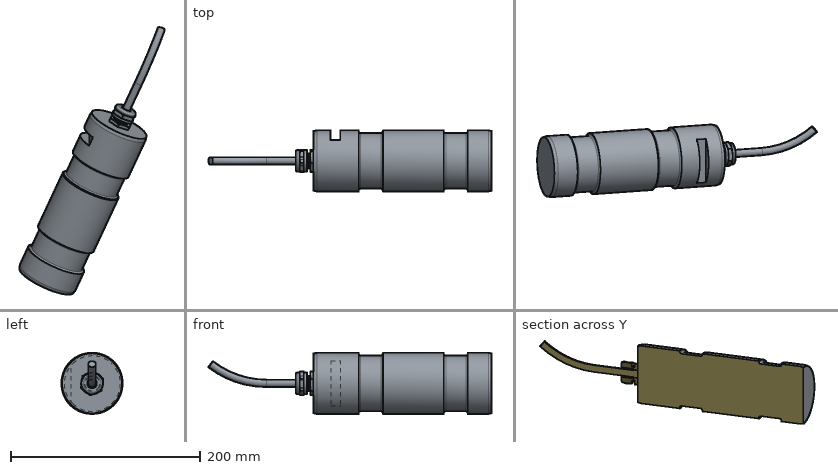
import cadquery as cq
import math

TOTAL_LENGTH = 299.5

PIN_LENGTH = 188.5
PIN_DIAMETER = 65.0
PIN_RADIUS = PIN_DIAMETER / 2
LEAD_IN_LENGTH = 3.5
LEAD_IN_DEPTH = 1.0
GROOVE_STARTS = (48.0, 137.8)
GROOVE_WIDTH = 25.2
GROOVE_DEPTH = 3.0
GROOVE_ROOT_FILLET = 1.8
MIDDLE_LAND_CHAMFER = 1.0
SLOT_START = 18.3
SLOT_WIDTH = 10.0
SLOT_DEPTH = 10.2

CABLE_DIAMETER = 8.0
CABLE_RADIUS = CABLE_DIAMETER / 2
BEND_START = -49.7
BEND_ANGLE = 38.0

HEX_WIDTH = 22.2
HEX_CORNER_RADIUS = HEX_WIDTH / math.sqrt(3)
HEX_TURN = 38.0
HEX_CHAMFER_RADIUS = 11.7
HEX_CHAMFER_LENGTH = 1.0

FLANGE_LENGTH = 3.5
NECK_RADIUS = 7.8
NECK_LENGTH = 1.5

NUT_LIP_RADIUS = 8.0
NUT_LIP_LENGTH = 1.5
NUT_RADIUS = 11.7
NUT_COLLAR_LENGTH = 3.5
NUT_COLLAR_CHAMFER = 0.5
NUT_HEX_LENGTH = 4.5
NUT_NOSE_LENGTH = 4.2
NUT_NOSE_ROUND = 2.5
NUT_BORE_RADIUS = 5.0


def rod(start, length, radius):
    """Cylinder along X from start toward +X."""
    return cq.Workplane("YZ", origin=(start, 0, 0)).circle(radius).extrude(length)


def hexagon(start, length):
    """Hexagonal prism along X whose corners are bevelled by a cone at its left end."""
    prism = (
        cq.Workplane("YZ", origin=(start, 0, 0))
        .transformed(rotate=(0, 0, HEX_TURN))
        .polygon(6, 2 * HEX_CORNER_RADIUS)
        .extrude(length)
    )
    envelope = (
        cq.Workplane("XY")
        .moveTo(start, 0)
        .lineTo(start, HEX_CHAMFER_RADIUS)
        .lineTo(start + HEX_CHAMFER_LENGTH, HEX_CORNER_RADIUS)
        .lineTo(start + length, HEX_CORNER_RADIUS)
        .lineTo(start + length, 0)
        .close()
        .revolve(360, (0, 0, 0), (1, 0, 0))
    )
    return prism.intersect(envelope)


def groove_cutter(start):
    """Ring that cuts one groove, with rounded bottom corners."""
    ring = rod(start, GROOVE_WIDTH, PIN_RADIUS + GROOVE_DEPTH).cut(
        rod(start, GROOVE_WIDTH, PIN_RADIUS - GROOVE_DEPTH)
    )
    inner_edges = cq.selectors.RadiusNthSelector(0)
    return ring.edges("%CIRCLE").edges(inner_edges).fillet(GROOVE_ROOT_FILLET)


def make_pin():
    end_radius = PIN_RADIUS - LEAD_IN_DEPTH
    pin = (
        cq.Workplane("XY")
        .lineTo(0, end_radius)
        .lineTo(LEAD_IN_LENGTH, PIN_RADIUS)
        .lineTo(PIN_LENGTH - LEAD_IN_LENGTH, PIN_RADIUS)
        .lineTo(PIN_LENGTH, end_radius)
        .lineTo(PIN_LENGTH, 0)
        .close()
        .revolve(360, (0, 0, 0), (1, 0, 0))
    )
    for start in GROOVE_STARTS:
        pin = pin.cut(groove_cutter(start))

    land_start = GROOVE_STARTS[0] + GROOVE_WIDTH
    bevel = (
        cq.Workplane("XY")
        .moveTo(land_start, PIN_RADIUS - MIDDLE_LAND_CHAMFER)
        .lineTo(land_start + MIDDLE_LAND_CHAMFER, PIN_RADIUS)
        .lineTo(land_start, PIN_RADIUS)
        .close()
        .revolve(360, (0, 0, 0), (1, 0, 0))
    )
    pin = pin.cut(bevel)

    slot = cq.Workplane("XY").box(
        SLOT_WIDTH, SLOT_DEPTH, PIN_DIAMETER, centered=(False, False, True)
    )
    return pin.cut(slot.translate((SLOT_START, PIN_RADIUS - SLOT_DEPTH, 0)))


def make_gland_body():
    flange = hexagon(-FLANGE_LENGTH, FLANGE_LENGTH)
    neck_start = -FLANGE_LENGTH - NECK_LENGTH
    body = flange.union(rod(neck_start, NECK_LENGTH, NECK_RADIUS))
    return body.cut(rod(neck_start, NECK_LENGTH + FLANGE_LENGTH, CABLE_RADIUS))


def make_gland_nut():
    nut_end = -FLANGE_LENGTH - NECK_LENGTH
    lip_start = nut_end - NUT_LIP_LENGTH
    collar_start = lip_start - NUT_COLLAR_LENGTH
    hex_start = collar_start - NUT_HEX_LENGTH
    nose_start = hex_start - NUT_NOSE_LENGTH
    lip = rod(lip_start, NUT_LIP_LENGTH, NUT_LIP_RADIUS)
    collar = rod(collar_start, NUT_COLLAR_LENGTH, NUT_RADIUS).faces(">X").chamfer(NUT_COLLAR_CHAMFER)
    nose = rod(nose_start, NUT_NOSE_LENGTH, NUT_RADIUS).faces("<X").edges().fillet(NUT_NOSE_ROUND)
    nut = lip.union(collar).union(hexagon(hex_start, NUT_HEX_LENGTH)).union(nose)
    return nut.cut(rod(nose_start, nut_end - nose_start, NUT_BORE_RADIUS))


def make_cable():
    angle = math.radians(BEND_ANGLE)
    cable_reach = TOTAL_LENGTH - PIN_LENGTH
    bend_radius = (cable_reach + BEND_START) / math.sin(angle) - CABLE_RADIUS

    def bend_point(turn):
        return (BEND_START - bend_radius * math.sin(turn), bend_radius * (1 - math.cos(turn)))

    path = (
        cq.Workplane("XZ")
        .lineTo(BEND_START, 0)
        .threePointArc(bend_point(angle / 2), bend_point(angle))
    )
    return cq.Workplane("YZ").circle(CABLE_RADIUS).sweep(path)


pin = make_pin()
gland_body = make_gland_body()
gland_nut = make_gland_nut()
cable = make_cable()

result = cq.Compound.makeCompound(
    [
        pin.solids().val(),
        gland_body.solids().val(),
        gland_nut.solids().val(),
        cable.solids().val(),
    ]
)